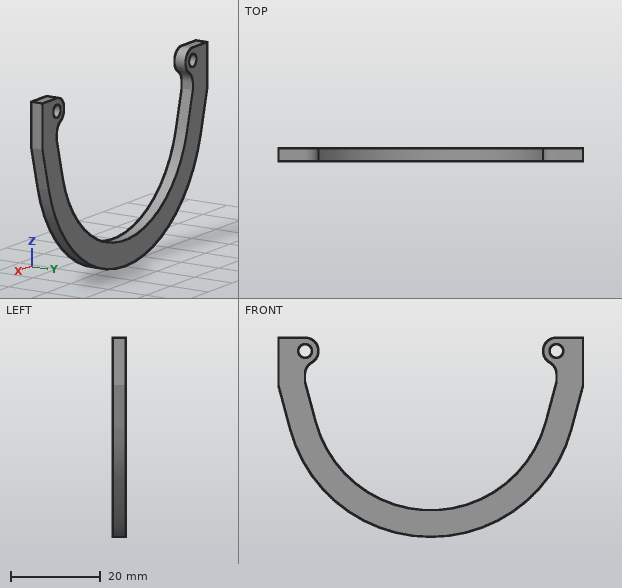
import cadquery as cq
import math

width = 68.0
height = 44.5
thickness = 3.0
outer_radius = 32.5
band = 6.0
flank_angle = math.radians(15)
lug_radius = 3.0
neck_radius = 3.0
hole_diameter = 3.0

half_width = width / 2
inner_half_width = half_width - band
inner_radius = outer_radius - band
top_z = height - outer_radius
lug_x = inner_half_width
lug_z = top_z - lug_radius

neck_reach = lug_radius + neck_radius
neck_x = inner_half_width - neck_radius
neck_z = lug_z - math.sqrt(neck_reach**2 - neck_radius**2)
lug_fraction = lug_radius / neck_reach
lug_to_neck = (
    lug_x + (neck_x - lug_x) * lug_fraction,
    lug_z + (neck_z - lug_z) * lug_fraction,
)
neck_angle = math.atan2(neck_z - lug_z, neck_x - lug_x)


def flank_tangent(radius):
    """Point where the right flank runs into an arc about the origin."""
    return radius * math.cos(flank_angle), -radius * math.sin(flank_angle)


def flank_corner(x, radius):
    """Point where the flank tangent to an arc meets the vertical wall at x."""
    return x, (x * math.cos(flank_angle) - radius) / math.sin(flank_angle)


def arc_point(center_x, center_z, radius, angle):
    """Point on a circle at an angle measured from +X."""
    return center_x + radius * math.cos(angle), center_z + radius * math.sin(angle)


def make_half():
    """Right half of the horseshoe, from the symmetry plane to its lug."""
    outer_mid = arc_point(0, 0, outer_radius, -math.pi / 4)
    inner_mid = arc_point(0, 0, inner_radius, -math.pi / 4)
    lug_mid = arc_point(lug_x, lug_z, lug_radius, math.pi)
    neck_mid = arc_point(neck_x, neck_z, neck_radius, (neck_angle + math.pi) / 2)

    return (
        cq.Workplane("XZ", origin=(0, thickness / 2, 0))
        .moveTo(0, -outer_radius)
        .threePointArc(outer_mid, flank_tangent(outer_radius))
        .lineTo(*flank_corner(half_width, outer_radius))
        .lineTo(half_width, top_z)
        .lineTo(lug_x, top_z)
        .threePointArc(lug_mid, lug_to_neck)
        .threePointArc(neck_mid, (inner_half_width, neck_z))
        .lineTo(*flank_corner(inner_half_width, inner_radius))
        .lineTo(*flank_tangent(inner_radius))
        .threePointArc(inner_mid, (0, -inner_radius))
        .close()
        .extrude(thickness)
    )


def make_lug_holes():
    """Cylinders that pierce both lugs, concentric with them."""
    return (
        cq.Workplane("XZ", origin=(0, thickness / 2, 0))
        .pushPoints([(-lug_x, lug_z), (lug_x, lug_z)])
        .circle(hole_diameter / 2)
        .extrude(thickness)
    )


right_half = make_half()
left_half = right_half.mirror("YZ")
result = right_half.union(left_half).cut(make_lug_holes())